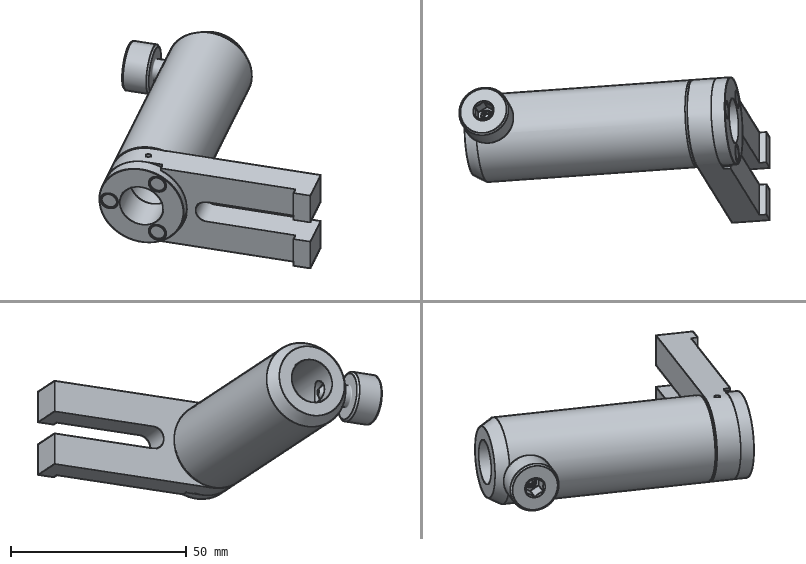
import cadquery as cq
import math

TOTAL_LENGTH = 76.3
OUTER_RADIUS = 12.5
BORE_RADIUS = 6.4

POST_START = 11.0
POST_FRONT_CHAMFER = 0.6
POST_TAPER_LENGTH = 3.8
POST_TAPER_DEPTH = POST_TAPER_LENGTH * math.tan(math.radians(30))

RING_THICKNESS = 4.0
SLEEVE_RADIUS = 10.0
RING_CHAMFER = 0.1
PLUG_COUNT = 3
PLUG_CIRCLE_RADIUS = 9.5
PLUG_RADIUS = 2.3
PLUG_HOLE_CHAMFER = 0.3
PLUG_CHAMFER = 0.1

ARM_FRONT = 2.0
ARM_END = 50.0
ARM_STEP_X = 5.1
RING_CLEARANCE = 0.4
FOOT_LENGTH = 5.0
SLOT_WIDTH = 6.6
SLOT_CENTER_X = 18.8
VENT_RADIUS = 0.8
VENT_Y = 7.35

SCREW_TO_POST_END = 8.2
SCREW_Y = TOTAL_LENGTH - SCREW_TO_POST_END
HEAD_RADIUS = 7.2
HEAD_OUTER_FACE = -22.91
HEAD_INNER_FACE = -15.0
SHANK_FILLET = 0.3
HEAD_OUTER_CHAMFER = 0.5
HEAD_INNER_CHAMFER = 0.6
SHANK_RADIUS = 3.175
TIP_X = -5.9
TIP_RADIUS = 0.65
TIP_LENGTH = 2.0
HEX_FLATS = 5.0
HEX_DEPTH = 5.0
HEX_COUNTERSINK_RADIUS = 3.0
STUB_RADIUS = 1.65
STUB_HEIGHT = 1.0
STUB_CHAMFER = 0.35
STUB_HOLE_RADIUS = 0.75


def cylinder_y(radius, start, end, x=0.0, z=0.0):
    """Cylinder along Y between two Y positions."""
    axis_point = cq.Vector(x, start, z)
    return cq.Workplane(cq.Solid.makeCylinder(radius, end - start, axis_point, cq.Vector(0, 1, 0)))


def box_between(x_range, y_range, z_range):
    """Box given by its lower and upper limits on each axis."""
    sizes = [high - low for low, high in (x_range, y_range, z_range)]
    corner = (x_range[0], y_range[0], z_range[0])
    return cq.Workplane("XY").box(*sizes, centered=False).translate(corner)


def make_screw():
    """Thumbscrew turned about X, with a countersunk hexagonal socket and a hollow stub in it."""
    turned = (
        cq.Workplane("XY")
        .moveTo(HEAD_OUTER_FACE, 0)
        .lineTo(HEAD_OUTER_FACE, HEAD_RADIUS - HEAD_OUTER_CHAMFER)
        .lineTo(HEAD_OUTER_FACE + HEAD_OUTER_CHAMFER, HEAD_RADIUS)
        .lineTo(HEAD_INNER_FACE - HEAD_INNER_CHAMFER, HEAD_RADIUS)
        .lineTo(HEAD_INNER_FACE, HEAD_RADIUS - HEAD_INNER_CHAMFER)
        .lineTo(HEAD_INNER_FACE, SHANK_RADIUS + SHANK_FILLET)
        .radiusArc((HEAD_INNER_FACE + SHANK_FILLET, SHANK_RADIUS), -SHANK_FILLET)
        .lineTo(TIP_X - TIP_LENGTH, SHANK_RADIUS)
        .lineTo(TIP_X, TIP_RADIUS)
        .lineTo(TIP_X, 0)
        .close()
        .revolve(360, (0, 0, 0), (1, 0, 0))
    )
    hex_diameter = HEX_FLATS / math.cos(math.radians(30))
    socket = (
        cq.Workplane("YZ", origin=(HEAD_OUTER_FACE, 0, 0))
        .transformed(rotate=(0, 0, 90))
        .polygon(6, hex_diameter)
        .extrude(HEX_DEPTH)
    )
    countersink = cq.Solid.makeCone(
        HEX_COUNTERSINK_RADIUS,
        HEX_FLATS / 2,
        HEX_COUNTERSINK_RADIUS - HEX_FLATS / 2,
        cq.Vector(HEAD_OUTER_FACE, 0, 0),
        cq.Vector(1, 0, 0),
    )
    stub = (
        cq.Workplane("YZ", origin=(HEAD_OUTER_FACE + HEX_DEPTH - STUB_HEIGHT, 0, 0))
        .circle(STUB_RADIUS)
        .extrude(STUB_HEIGHT)
        .faces("<X")
        .chamfer(STUB_CHAMFER)
        .faces("<X")
        .workplane()
        .hole(2 * STUB_HOLE_RADIUS, STUB_HEIGHT)
    )
    screw_body = turned.cut(socket).cut(cq.Workplane(countersink)).union(stub)
    return screw_body.translate((0, SCREW_Y, 0))


def make_post():
    """Bored post with a tapered far end and a cross hole for the thumbscrew."""
    barrel = (
        cylinder_y(OUTER_RADIUS, POST_START, TOTAL_LENGTH)
        .faces("<Y")
        .chamfer(POST_FRONT_CHAMFER)
        .faces(">Y")
        .chamfer(POST_TAPER_LENGTH, POST_TAPER_DEPTH)
    )
    bore = cylinder_y(BORE_RADIUS, POST_START, TOTAL_LENGTH)
    screw_hole = (
        cq.Workplane("YZ", origin=(-OUTER_RADIUS, SCREW_Y, 0)).circle(SHANK_RADIUS).extrude(OUTER_RADIUS)
    )
    return barrel.cut(bore).cut(screw_hole)


def make_fork():
    """Hub around the ring's sleeve with a slotted arm along +X that ends in two feet."""
    full_z = (-OUTER_RADIUS, OUTER_RADIUS)
    hub = cylinder_y(OUTER_RADIUS, RING_THICKNESS, POST_START)
    neck = box_between((0, ARM_STEP_X), (RING_THICKNESS, POST_START), full_z)
    arm = box_between((ARM_STEP_X, ARM_END), (ARM_FRONT, POST_START), full_z)
    feet = box_between((ARM_END - FOOT_LENGTH, ARM_END), (0, ARM_FRONT), full_z)

    ring_pocket = cylinder_y(OUTER_RADIUS + RING_CLEARANCE, 0, RING_THICKNESS)
    sleeve_hole = cylinder_y(SLEEVE_RADIUS, RING_THICKNESS, POST_START)
    slot_end = cylinder_y(SLOT_WIDTH / 2, 0, POST_START, SLOT_CENTER_X)
    slot = box_between((SLOT_CENTER_X, ARM_END), (0, POST_START), (-SLOT_WIDTH / 2, SLOT_WIDTH / 2))
    vent = cq.Workplane("XY", origin=(0, VENT_Y, 0)).circle(VENT_RADIUS).extrude(OUTER_RADIUS)

    body = hub.union(neck).union(arm).union(feet)
    for opening in (ring_pocket, sleeve_hole, slot_end, slot, vent):
        body = body.cut(opening)
    return body


def plug_centers():
    """X and Z of the evenly spaced plugs, the first on the -X side."""
    angles = [math.pi + index * math.tau / PLUG_COUNT for index in range(PLUG_COUNT)]
    return [(PLUG_CIRCLE_RADIUS * math.cos(angle), PLUG_CIRCLE_RADIUS * math.sin(angle)) for angle in angles]


def make_plug(x, z):
    """Round plug with a chamfered front edge that fills one hole of the ring."""
    return cylinder_y(PLUG_RADIUS, 0, RING_THICKNESS, x, z).faces("<Y").chamfer(PLUG_CHAMFER)


def make_ring():
    """Ring in front of the hub, with a sleeve through the hub and a countersunk hole for each plug."""
    flange = cylinder_y(OUTER_RADIUS, 0, RING_THICKNESS).faces("<Y").chamfer(RING_CHAMFER)
    sleeve = cylinder_y(SLEEVE_RADIUS, 0, POST_START)
    body = flange.union(sleeve).cut(cylinder_y(BORE_RADIUS, 0, POST_START))
    for x, z in plug_centers():
        countersink = cq.Solid.makeCone(
            PLUG_RADIUS + PLUG_HOLE_CHAMFER,
            PLUG_RADIUS,
            PLUG_HOLE_CHAMFER,
            cq.Vector(x, 0, z),
            cq.Vector(0, 1, 0),
        )
        plug_hole = cylinder_y(PLUG_RADIUS, 0, RING_THICKNESS, x, z)
        body = body.cut(plug_hole).cut(cq.Workplane(countersink))
    return body


screw = make_screw()
post = make_post()
fork = make_fork()
ring = make_ring()
plugs = [make_plug(x, z) for x, z in plug_centers()]

bodies = [post, fork, ring, screw, *plugs]
result = cq.Compound.makeCompound([body.val() for body in bodies])